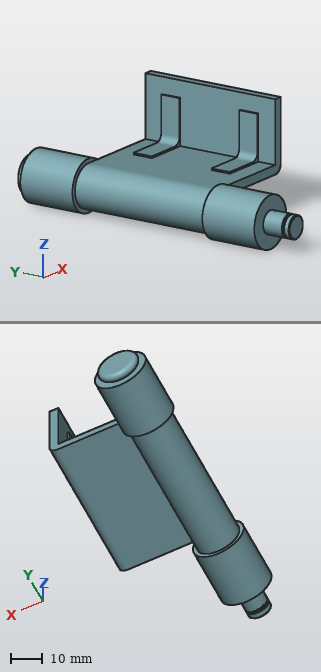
import cadquery as cq


leaf_length = 50.0
sheet = 3.2
tube_radius = 7.5
flange_outer_x = 35.0
flange_height = 25.0
bend_radius = 3.2
plate_top = tube_radius
plate_bottom = plate_top - sheet
flange_inner_x = flange_outer_x - sheet
flange_top = plate_bottom + flange_height

strap_width = 7.0
strap_leg = 16.0
strap_thickness = 0.6
strap_fillet = 2.5
strap_spacing = 30.0

knuckle_radius = 9.0
knuckle_length = 20.0
knuckle_end = leaf_length / 2 + knuckle_length

pin_radius = 4.0
head_radius = 7.0
head_thickness = 3.0
pin_tail = 10.0
tip_chamfer = 0.3
groove_radius = 3.5
groove_width = 0.9
groove_to_tip = 2.0
pin_tip_y = -knuckle_end - pin_tail


def y_cylinder(radius, y_start, length):
    """Cylinder on the hinge axis, running from y_start toward +Y."""
    return cq.Workplane("XZ", origin=(0, y_start, 0)).circle(radius).extrude(-length)


def centred_profile(center_y, width):
    """XZ sketch plane placed so that an extrusion by width is centred on center_y."""
    return cq.Workplane("XZ", origin=(0, center_y + width / 2, 0))


def make_strap(center_y):
    """L-shaped strap lying on the plate and the flange, rounded in its corner."""
    face_x = flange_inner_x - strap_thickness
    face_z = plate_top + strap_thickness
    plate_end_x = flange_inner_x - strap_leg
    flange_end_z = plate_top + strap_leg
    return (
        centred_profile(center_y, strap_width)
        .moveTo(plate_end_x, plate_top)
        .lineTo(flange_inner_x, plate_top)
        .lineTo(flange_inner_x, flange_end_z)
        .lineTo(face_x, flange_end_z)
        .lineTo(face_x, face_z + strap_fillet)
        .radiusArc((face_x - strap_fillet, face_z), strap_fillet)
        .lineTo(plate_end_x, face_z)
        .close()
        .extrude(strap_width)
    )


def make_leaf():
    angle = (
        centred_profile(0, leaf_length)
        .moveTo(0, plate_bottom)
        .lineTo(flange_outer_x - bend_radius, plate_bottom)
        .radiusArc((flange_outer_x, plate_bottom + bend_radius), -bend_radius)
        .lineTo(flange_outer_x, flange_top)
        .lineTo(flange_inner_x, flange_top)
        .lineTo(flange_inner_x, plate_top)
        .lineTo(0, plate_top)
        .close()
        .extrude(leaf_length)
    )
    leaf = y_cylinder(tube_radius, -leaf_length / 2, leaf_length).union(angle)
    for center_y in (-strap_spacing / 2, strap_spacing / 2):
        leaf = leaf.union(make_strap(center_y))
    return leaf.cut(y_cylinder(pin_radius, -leaf_length / 2, leaf_length))


def make_knuckle(y_start):
    bore = y_cylinder(pin_radius, y_start, knuckle_length)
    return y_cylinder(knuckle_radius, y_start, knuckle_length).cut(bore)


def make_pin_head():
    """Flat disc with a fully rounded rim, turned about the hinge axis."""
    flat_radius = head_radius - head_thickness / 2
    head_end = knuckle_end + head_thickness
    return (
        cq.Workplane("XY")
        .moveTo(0, knuckle_end)
        .lineTo(flat_radius, knuckle_end)
        .threePointArc((head_radius, knuckle_end + head_thickness / 2), (flat_radius, head_end))
        .lineTo(0, head_end)
        .close()
        .revolve(360, (0, 0, 0), (0, 1, 0))
    )


def make_pin():
    shank = y_cylinder(pin_radius, pin_tip_y, knuckle_end - pin_tip_y)
    shank = shank.faces("<Y").chamfer(tip_chamfer)
    groove_y = pin_tip_y + groove_to_tip
    groove = y_cylinder(pin_radius, groove_y, groove_width)
    groove = groove.cut(y_cylinder(groove_radius, groove_y, groove_width))
    return shank.cut(groove).union(make_pin_head())


leaf = make_leaf()
knuckles = [make_knuckle(y_start) for y_start in (-knuckle_end, leaf_length / 2)]
pin = make_pin()

result = cq.Compound.makeCompound(
    [leaf.val(), *[knuckle.val() for knuckle in knuckles], pin.val()]
)